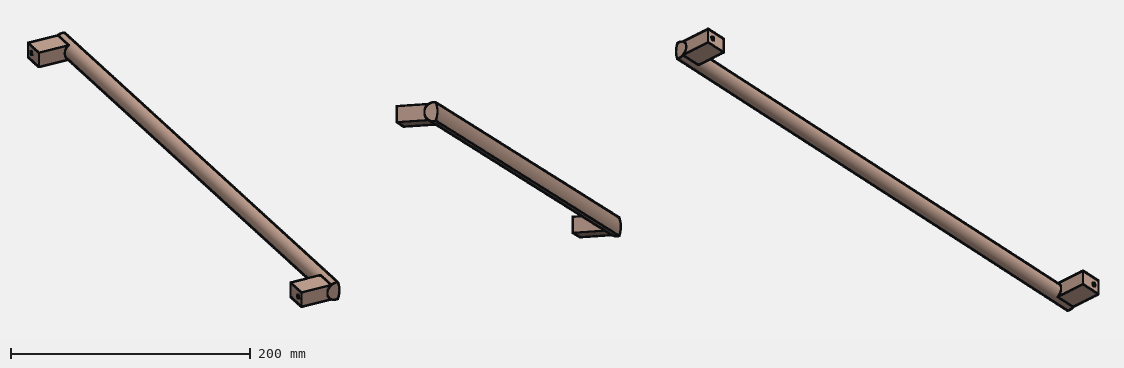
import cadquery as cq
import math

length = 492.0
depth = 36.0

bar_height = 16.0
bar_radius = bar_height / 2
bar_center_y = -3.5
back_bulge = 1.5
back_corner_z = math.sqrt(bar_radius**2 - (back_bulge + bar_center_y) ** 2)

post_width = 19.5
post_height = 14.0

hole_diameter = 3.5
hole_depth = 15.0
hole_inset = 6.0


def make_bar():
    """Handle bar running the full length along X."""
    return (
        cq.Workplane("YZ")
        .moveTo(-back_bulge, -back_corner_z)
        .threePointArc((bar_center_y - bar_radius, 0), (-back_bulge, back_corner_z))
        .threePointArc((0, 0), (-back_bulge, -back_corner_z))
        .close()
        .extrude(length / 2, both=True)
    )


def make_post(side, bar):
    """Rectangular post at one end (side is -1 or 1), seated around the bar."""
    center_x = side * (length - post_width) / 2
    post_length = depth + bar_center_y
    block = cq.Workplane("XY").box(post_width, post_length, post_height).translate(
        (center_x, bar_center_y - post_length / 2, 0)
    )
    hole = (
        cq.Workplane("XZ", origin=(side * (length / 2 - hole_inset), -depth, 0))
        .circle(hole_diameter / 2)
        .extrude(-hole_depth)
    )
    return block.cut(bar).cut(hole)


bar = make_bar()
posts = [make_post(side, bar) for side in (-1, 1)]

result = cq.Compound.makeCompound([bar.val(), *[post.val() for post in posts]])